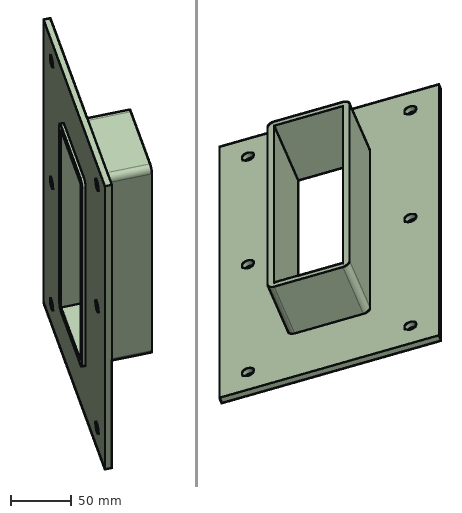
import cadquery as cq

plate_width = 192.5
plate_height = 350.0
plate_thickness = 6.0

hole_diameter = 10.5
hole_spacing_x = 142.5
hole_spacing_z = 150.0

sleeve_width = 72.0
sleeve_height = 230.3
sleeve_length = 60.0
sleeve_wall = 6.0
sleeve_corner_radius = 6.0
front_lip = 2.95


def block(width, length, height, front_y):
    """Box centred on X and Z, running toward +Y from front_y."""
    centred_box = cq.Workplane("XY").box(width, length, height, centered=(True, False, True))
    return centred_box.translate((0, front_y, 0))


def make_plate():
    """Plate with its front face on Y = 0 and the bolt holes drilled through."""
    return (
        block(plate_width, plate_thickness, plate_height, 0)
        .faces("<Y")
        .workplane(origin=(0, 0, 0))
        .rarray(hole_spacing_x, hole_spacing_z, 2, 3)
        .hole(hole_diameter)
    )


sleeve = block(sleeve_width, sleeve_length, sleeve_height, -front_lip)
sleeve = sleeve.edges("|Y").fillet(sleeve_corner_radius)

opening_width = sleeve_width - 2 * sleeve_wall
opening_height = sleeve_height - 2 * sleeve_wall
opening = block(opening_width, sleeve_length, opening_height, -front_lip)

result = make_plate().union(sleeve).cut(opening)